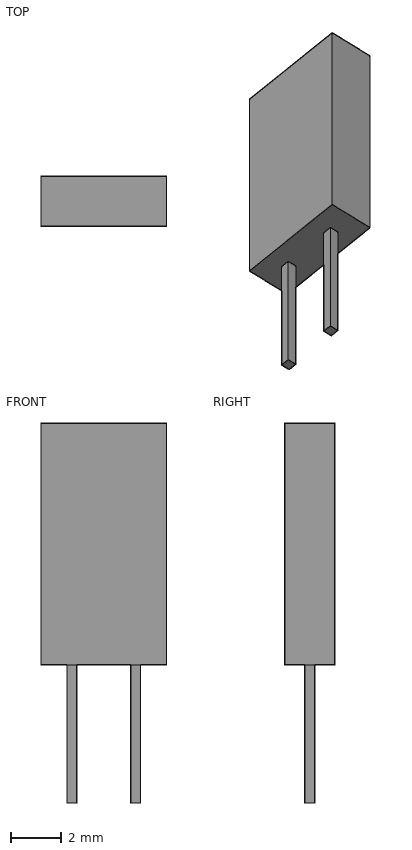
import cadquery as cq

body_width = 5.0
body_depth = 2.0
body_height = 9.6

lead_side = 0.4
lead_length = 5.5
lead_pitch = 2.54


def make_body():
    return cq.Workplane("XY").box(
        body_width, body_depth, body_height, centered=(True, True, False)
    )


def make_leads():
    lead_centres = [(-lead_pitch / 2, 0), (lead_pitch / 2, 0)]
    return (
        cq.Workplane("XY")
        .pushPoints(lead_centres)
        .rect(lead_side, lead_side)
        .extrude(-lead_length)
    )


result = make_body().union(make_leads())